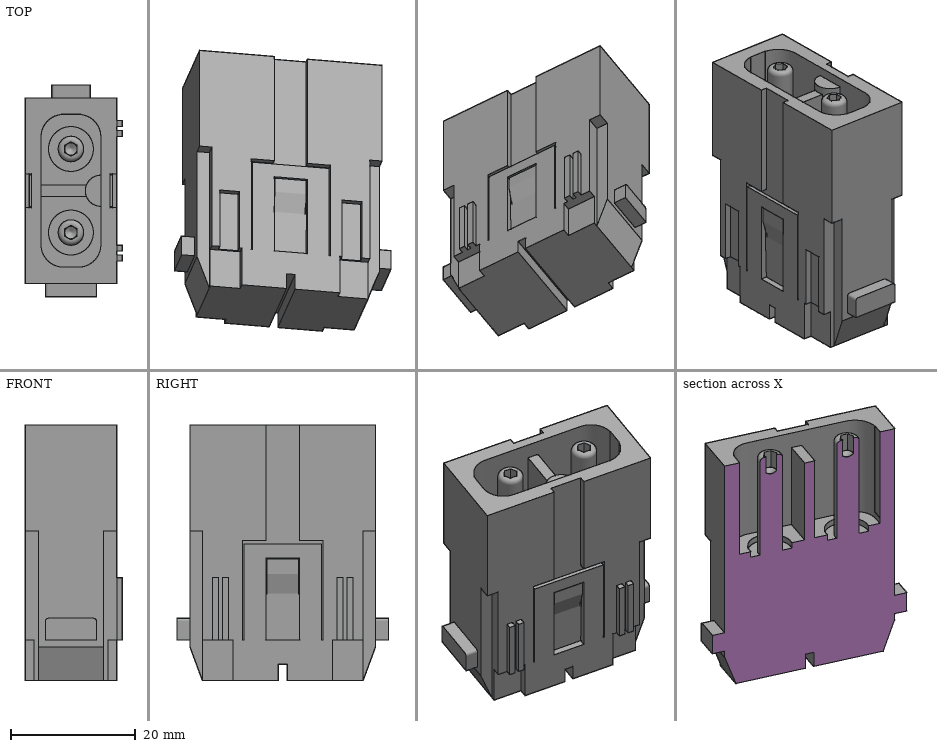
import cadquery as cq
import math

BODY_X = 14.7
BODY_Y = 29.8
BODY_Z = 41.0

CORNER_X = 2.15
CORNER_Y = 2.0
CORNER_TOP = 24.0
END_BEVEL_HEIGHT = 5.4
SHOULDER_Z = 6.5
SIDE_RECESS_DEPTH = 1.4
FOOT_HALF_Y = 8.0
FOOT_SLOT_WIDTH = 1.4
FOOT_SLOT_HEIGHT = 2.6

CAVITY_X = 9.6
CAVITY_Y = 24.5
CAVITY_RADIUS = 3.6
CAVITY_FLOOR = CORNER_TOP
RELIEF_WIDTH = 3.0
RELIEF_DEPTH = 0.05
RELIEF_SILL = 1.0

RIB_WIDTH = 1.8
RIB_TOP = 38.3
KEY_RADIUS = 2.5
KEY_TOP = 39.5

PIN_HALF_PITCH = 6.7
PIN_DIAMETER = 4.1
PIN_ROUNDING = 0.75
WELL_DIAMETER = 7.2
WELL_DEPTH = 1.0
HEX_ACROSS_FLATS = 2.0
HEX_DEPTH = 3.0
DRILL_POINT_DEPTH = 0.6

GROOVE_WIDTH = 5.4
GROOVE_DEPTH = 1.05
LATCH_POCKET_WIDTH = 12.9
LATCH_POCKET_TOP = 22.5
LATCH_SIDE_GAP = 0.2
LATCH_TOP_GAP = 0.6
LATCH_TIP_THICKNESS = 0.65
WINDOW_TOP = 19.65
NOSE_GAP = 0.15
NOSE_SETBACK = 0.2
NOSE_SLOPE_TOP = 17.05
NOSE_SLOPE_BOTTOM = 13.9

GUIDE_Y = 10.0
GUIDE_TOP = 16.5
SLOT_WIDTH = 3.2
SLOT_DEPTH = 1.05
GUIDE_RIB_WIDTH = 1.0
GUIDE_RIB_PAIR_WIDTH = 2.6
GUIDE_RIB_HEIGHT = 0.9

TAB_LENGTH = 2.1
TAB_TOP = 10.0
TAB_ROUNDING = 0.5
FRONT_TAB_WIDTH = 8.2
REAR_TAB_WIDTH = 6.2

HALF_X = BODY_X / 2
HALF_Y = BODY_Y / 2
INNER_END_Y = HALF_Y - CORNER_Y
BOTH_SIDES = (-1, 1)


def block(x_ends, y_ends, z_ends):
    """Box between two positions on each axis, each pair in either order."""
    x_low, x_high = sorted(x_ends)
    y_low, y_high = sorted(y_ends)
    z_low, z_high = sorted(z_ends)
    return (
        cq.Workplane("XY")
        .box(x_high - x_low, y_high - y_low, z_high - z_low, centered=False)
        .translate((x_low, y_low, z_low))
    )


def xz_prism(points, width):
    """Extrude an X-Z outline symmetrically about Y = 0."""
    return cq.Workplane("XZ").polyline(points).close().extrude(width / 2, both=True)


def housing():
    """Outer block with stepped corners, bevelled ends, side recesses and foot slot."""
    body = (
        cq.Workplane("YZ")
        .moveTo(-INNER_END_Y, 0)
        .lineTo(INNER_END_Y, 0)
        .lineTo(HALF_Y, END_BEVEL_HEIGHT)
        .lineTo(HALF_Y, BODY_Z)
        .lineTo(-HALF_Y, BODY_Z)
        .lineTo(-HALF_Y, END_BEVEL_HEIGHT)
        .close()
        .extrude(HALF_X, both=True)
    )
    for x_side in BOTH_SIDES:
        outer_x = x_side * HALF_X
        corner_x = x_side * (HALF_X - CORNER_X)
        recess_x = x_side * (HALF_X - SIDE_RECESS_DEPTH)
        for y_side in BOTH_SIDES:
            outer_y = y_side * HALF_Y
            corner_y = y_side * INNER_END_Y
            foot_y = y_side * FOOT_HALF_Y
            body = body.cut(block((corner_x, outer_x), (corner_y, outer_y), (0, CORNER_TOP)))
            body = body.cut(block((recess_x, outer_x), (foot_y, outer_y), (0, SHOULDER_Z)))
    slot_half = FOOT_SLOT_WIDTH / 2
    return body.cut(block((-HALF_X, HALF_X), (-slot_half, slot_half), (0, FOOT_SLOT_HEIGHT)))


def mating_cavity():
    """Rounded cavity with the contact wells in its floor and the relief in its +Y wall."""
    depth = BODY_Z - CAVITY_FLOOR
    cavity = (
        cq.Workplane("XY", origin=(0, 0, CAVITY_FLOOR))
        .rect(CAVITY_X, CAVITY_Y)
        .extrude(depth)
        .edges("|Z")
        .fillet(CAVITY_RADIUS)
    )
    relief = block(
        (-RELIEF_WIDTH / 2, RELIEF_WIDTH / 2),
        (0, CAVITY_Y / 2 + RELIEF_DEPTH),
        (CAVITY_FLOOR + RELIEF_SILL, BODY_Z),
    )
    wells = (
        cq.Workplane("XY", origin=(0, 0, CAVITY_FLOOR - WELL_DEPTH))
        .pushPoints([(0, side * PIN_HALF_PITCH) for side in BOTH_SIDES])
        .circle(WELL_DIAMETER / 2)
        .extrude(WELL_DEPTH)
    )
    return cavity.union(relief).union(wells)


def partition_and_key():
    """Low partition across the cavity, ending in a half-round key on the +X wall."""
    wall_x = CAVITY_X / 2
    partition = block((-wall_x, wall_x), (-RIB_WIDTH / 2, RIB_WIDTH / 2), (CAVITY_FLOOR, RIB_TOP))
    key = (
        cq.Workplane("XY", origin=(wall_x, 0, CAVITY_FLOOR))
        .moveTo(0, -KEY_RADIUS)
        .threePointArc((-KEY_RADIUS, 0), (0, KEY_RADIUS))
        .close()
        .extrude(KEY_TOP - CAVITY_FLOOR)
    )
    return partition.union(key)


def contact_pin(y):
    """Round-nosed pin with a hexagon socket that ends in a drill point."""
    base_z = CAVITY_FLOOR - WELL_DEPTH
    socket_z = BODY_Z - HEX_DEPTH
    pin = (
        cq.Workplane("XY", origin=(0, y, base_z))
        .circle(PIN_DIAMETER / 2)
        .extrude(BODY_Z - base_z)
        .faces(">Z")
        .edges()
        .fillet(PIN_ROUNDING)
    )
    hex_across_corners = HEX_ACROSS_FLATS / math.cos(math.pi / 6)
    hexagon = (
        cq.Workplane("XY", origin=(0, y, socket_z))
        .transformed(rotate=(0, 0, 90))
        .polygon(6, hex_across_corners)
        .extrude(HEX_DEPTH)
    )
    drill_point = cq.Workplane(
        cq.Solid.makeCone(
            HEX_ACROSS_FLATS / 2,
            0,
            DRILL_POINT_DEPTH,
            pnt=cq.Vector(0, y, socket_z),
            dir=cq.Vector(0, 0, -1),
        )
    )
    return pin.cut(hexagon).cut(drill_point)


def latch_pocket():
    """Cut on the -X side for the guide groove, with the latch pocket below it."""
    groove_x = (-HALF_X, -HALF_X + GROOVE_DEPTH)
    groove_half = GROOVE_WIDTH / 2
    pocket_half = LATCH_POCKET_WIDTH / 2
    groove = block(groove_x, (-groove_half, groove_half), (SHOULDER_Z, BODY_Z))
    pocket = block(groove_x, (-pocket_half, pocket_half), (SHOULDER_Z, LATCH_POCKET_TOP))
    return groove.union(pocket)


def latch():
    """Windowed latch tongue on the -X side, thinning upwards, with a nose in its window."""
    outer_x = -HALF_X
    floor_x = outer_x + GROOVE_DEPTH
    window_half = GROOVE_WIDTH / 2
    tongue_top = LATCH_POCKET_TOP - LATCH_TOP_GAP
    tongue = xz_prism(
        [
            (outer_x, SHOULDER_Z),
            (floor_x, SHOULDER_Z),
            (outer_x + LATCH_TIP_THICKNESS, tongue_top),
            (outer_x, tongue_top),
        ],
        LATCH_POCKET_WIDTH - 2 * LATCH_SIDE_GAP,
    )
    window = block((outer_x, floor_x), (-window_half, window_half), (SHOULDER_Z, WINDOW_TOP))
    nose_x = outer_x + NOSE_SETBACK
    nose_top = WINDOW_TOP - NOSE_GAP
    nose = xz_prism(
        [
            (floor_x, NOSE_SLOPE_BOTTOM),
            (nose_x, NOSE_SLOPE_TOP),
            (nose_x, nose_top),
            (floor_x, nose_top),
        ],
        GROOVE_WIDTH - 2 * NOSE_GAP,
    )
    return tongue.cut(window).union(nose)


def guide_slot(y):
    """Polarising slot in the -X side."""
    return block(
        (-HALF_X, -HALF_X + SLOT_DEPTH),
        (y - SLOT_WIDTH / 2, y + SLOT_WIDTH / 2),
        (SHOULDER_Z, GUIDE_TOP),
    )


def guide_ribs(y):
    """Pair of polarising ribs on the +X side, matching a guide slot."""
    pair_half = GUIDE_RIB_PAIR_WIDTH / 2
    x_ends = (HALF_X, HALF_X + GUIDE_RIB_HEIGHT)
    z_ends = (SHOULDER_Z, GUIDE_TOP)
    lower = block(x_ends, (y - pair_half, y - pair_half + GUIDE_RIB_WIDTH), z_ends)
    upper = block(x_ends, (y + pair_half - GUIDE_RIB_WIDTH, y + pair_half), z_ends)
    return lower.union(upper)


def end_tab(y_side, width):
    """Locking tab on one Y end, rounded along its two upper edges."""
    tab = block(
        (-width / 2, width / 2),
        (y_side * HALF_Y, y_side * (HALF_Y + TAB_LENGTH)),
        (SHOULDER_Z, TAB_TOP),
    )
    return tab.faces(">Z").edges("|Y").fillet(TAB_ROUNDING)


result = housing().cut(mating_cavity()).union(partition_and_key())
for side in BOTH_SIDES:
    result = result.union(contact_pin(side * PIN_HALF_PITCH))

result = result.cut(latch_pocket()).cut(latch_pocket().mirror("YZ"))
result = result.union(latch()).union(latch().mirror("YZ"))

for side in BOTH_SIDES:
    result = result.cut(guide_slot(side * GUIDE_Y))
    result = result.union(guide_ribs(side * GUIDE_Y))

result = result.union(end_tab(-1, FRONT_TAB_WIDTH)).union(end_tab(1, REAR_TAB_WIDTH))